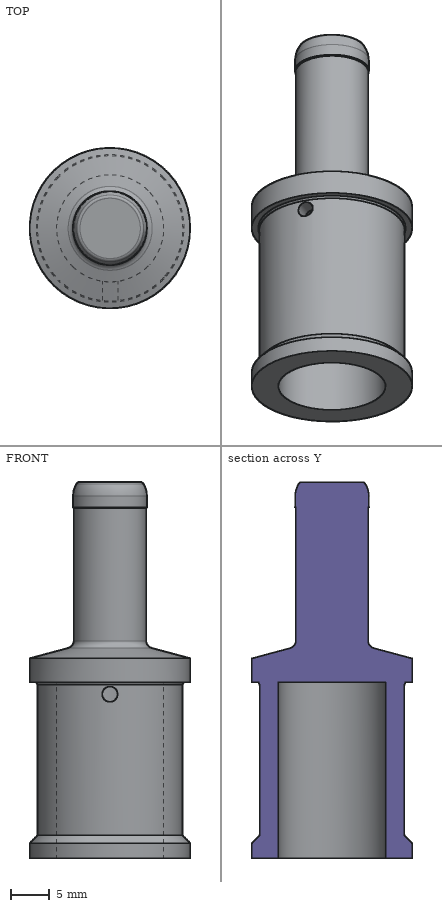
import cadquery as cq
import math

total_height = 49.2
foot_rim_top = 2.0
foot_chamfer_top = 3.0
collar_bottom = 23.0
collar_top = 26.15
band_bottom = 45.9
band_top = 47.4

flange_diameter = 21.0
body_diameter = 19.0
shaft_diameter = 9.5
band_diameter = 9.7

collar_flare_height = 0.3
collar_flare_width = 0.15
band_flare_height = 0.15
tip_side_radius = 2.8
tip_edge_radius = 0.5
neck_fillet = 1.0
collar_slope = math.radians(15)

bore_diameter = 14.0
bore_depth = collar_bottom

wall_hole_diameter = 2.0
wall_hole_height = 21.45

flange_radius = flange_diameter / 2
body_radius = body_diameter / 2
shaft_radius = shaft_diameter / 2
band_radius = band_diameter / 2

neck_outer_radius = shaft_radius + neck_fillet * (1 - math.sin(collar_slope))
neck_bottom = collar_top + (flange_radius - neck_outer_radius) * math.tan(collar_slope)
neck_top = neck_bottom + neck_fillet * math.cos(collar_slope)

tip_side_center = band_radius - tip_side_radius
tip_center_distance = tip_side_radius - tip_edge_radius
tip_center_rise = total_height - tip_edge_radius - band_top
tip_flat_radius = tip_side_center + math.sqrt(tip_center_distance**2 - tip_center_rise**2)
tip_tangent_angle = math.asin(tip_center_rise / tip_center_distance)
tip_tangent_radius = tip_side_center + tip_side_radius * math.cos(tip_tangent_angle)
tip_tangent_height = band_top + tip_side_radius * math.sin(tip_tangent_angle)


def make_turned_body():
    """Revolve the half profile of the foot, body, collar, shaft and tip about Z."""
    profile = (
        cq.Workplane("XZ")
        .lineTo(flange_radius, 0)
        .lineTo(flange_radius, foot_rim_top)
        .lineTo(body_radius, foot_chamfer_top)
        .lineTo(body_radius, collar_bottom - collar_flare_height)
        .lineTo(body_radius + collar_flare_width, collar_bottom)
        .lineTo(flange_radius, collar_bottom)
        .lineTo(flange_radius, collar_top)
        .lineTo(neck_outer_radius, neck_bottom)
        .tangentArcPoint((shaft_radius, neck_top), relative=False)
        .lineTo(shaft_radius, band_bottom - band_flare_height)
        .lineTo(band_radius, band_bottom)
        .lineTo(band_radius, band_top)
        .tangentArcPoint((tip_tangent_radius, tip_tangent_height), relative=False)
        .tangentArcPoint((tip_flat_radius, total_height), relative=False)
        .lineTo(0, total_height)
        .close()
    )
    return profile.revolve(360, (0, 0), (0, 1))


def make_bore():
    """Cylinder that rises from the bottom face along Z."""
    return cq.Workplane("XY").circle(bore_diameter / 2).extrude(bore_depth)


def make_wall_hole():
    """Cylinder from the Z axis out past the -Y wall of the body."""
    return (
        cq.Workplane("XZ", origin=(0, 0, wall_hole_height))
        .circle(wall_hole_diameter / 2)
        .extrude(flange_radius)
    )


result = make_turned_body().cut(make_bore()).cut(make_wall_hole())